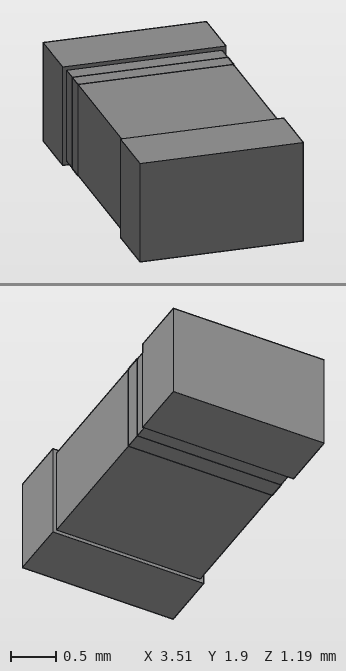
import cadquery as cq

length = 3.51
width = 1.9
height = 1.19

terminal_length = 0.713
terminal_step = 0.045

band_offset = 0.207
band_width = 0.207
band_step = 0.005

core_length = length - 2 * terminal_length
core_width = width - 2 * terminal_step
core_height = height - 2 * terminal_step
core_left = -core_length / 2
band_left = core_left + band_offset


def block(left, block_length, block_width, block_height):
    """Box centred on the X axis, starting at X = left."""
    return cq.Workplane("XY").box(block_length, block_width, block_height).translate(
        (left + block_length / 2, 0, 0)
    )


def make_core():
    """Plain rectangular core between the terminals."""
    return block(core_left, core_length, core_width, core_height)


def make_terminal(left):
    """Solid end block that meets one end face of the core."""
    return block(left, terminal_length, width, height)


def make_band():
    """Thin rectangular ring wrapped around the core."""
    outside = block(band_left, band_width, core_width + 2 * band_step, core_height + 2 * band_step)
    opening = block(band_left, band_width, core_width, core_height)
    return outside.cut(opening)


core = make_core()
band = make_band()
terminals = [make_terminal(left) for left in (-length / 2, core_left + core_length)]

result = cq.Compound.makeCompound(
    [core.val(), band.val(), *[terminal.val() for terminal in terminals]]
)